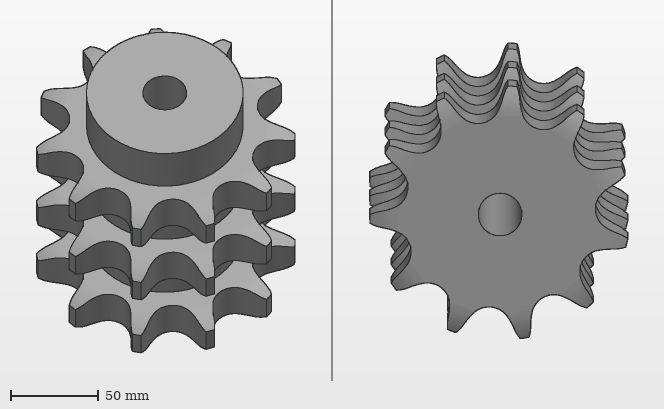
import cadquery as cq
import math

TEETH = 11
CHAIN_PITCH = 38.1
ROLLER_DIAMETER = CHAIN_PITCH * 2 / 3
SEATING_CLEARANCE = 0.08
TIP_RADIUS = 75.0

STRANDS = 3
STRAND_SPACING = 48.3
PLATE_THICKNESS = 23.8
RELIEF_START_RADIUS = 58.4
RELIEF_DEPTH = 4.0

TOTAL_HEIGHT = 150.0
HUB_DIAMETER = 90.0
BORE_DIAMETER = 25.0

HALF_TOOTH_ANGLE = math.pi / TEETH
PITCH_RADIUS = CHAIN_PITCH / 2 / math.sin(HALF_TOOTH_ANGLE)

SEATING_RADIUS = (1.005 * ROLLER_DIAMETER + SEATING_CLEARANCE) / 2
SEATING_ANGLE = math.radians(35 + 60 / TEETH)
WORKING_SWEEP = math.radians(18 - 56 / TEETH)
TOPPING_ANGLE = math.radians(17 - 64 / TEETH)
WORKING_OFFSET = 0.8 * ROLLER_DIAMETER
WORKING_RADIUS = WORKING_OFFSET + SEATING_RADIUS
TOPPING_OFFSET = 1.4 * ROLLER_DIAMETER
FLANK_LENGTH = TOPPING_OFFSET * math.sin(TOPPING_ANGLE) - WORKING_OFFSET * math.sin(WORKING_SWEEP)


def polar(center, radius, angle):
    return (center[0] + radius * math.cos(angle), center[1] + radius * math.sin(angle))


def angle_from(center, point):
    return math.atan2(point[1] - center[1], point[0] - center[0])


def rotate(point, angle):
    return polar((0, 0), math.hypot(*point), math.atan2(point[1], point[0]) + angle)


def mirror(point):
    return (-point[0], point[1])


def half_gap_points():
    """Points from the root to the tip along the +X side of the tooth gap centred on +Y."""
    roller = (0, PITCH_RADIUS)
    root = (0, PITCH_RADIUS - SEATING_RADIUS)
    seating_end = polar(roller, SEATING_RADIUS, -SEATING_ANGLE)

    working_center = polar(roller, WORKING_OFFSET, math.pi - SEATING_ANGLE)
    working_end_angle = WORKING_SWEEP - SEATING_ANGLE
    working_middle = polar(working_center, WORKING_RADIUS, working_end_angle - WORKING_SWEEP / 2)
    working_end = polar(working_center, WORKING_RADIUS, working_end_angle)
    flank_end = polar(working_end, FLANK_LENGTH, working_end_angle + math.pi / 2)

    topping_center = polar(roller, TOPPING_OFFSET, -HALF_TOOTH_ANGLE)
    topping_radius = math.dist(topping_center, flank_end)
    center_distance = math.hypot(*topping_center)
    cosine = (TIP_RADIUS**2 + center_distance**2 - topping_radius**2) / (2 * TIP_RADIUS * center_distance)
    tip_corner = polar((0, 0), TIP_RADIUS, angle_from((0, 0), topping_center) + math.acos(cosine))
    start_angle = angle_from(topping_center, flank_end) % math.tau
    stop_angle = angle_from(topping_center, tip_corner) % math.tau
    topping_middle = polar(topping_center, topping_radius, (start_angle + stop_angle) / 2)

    return root, seating_end, working_middle, working_end, flank_end, topping_middle, tip_corner


def toothed_blank():
    right_side = half_gap_points()
    left_side = [mirror(point) for point in right_side]
    first_corner = left_side[-1]
    outline = cq.Workplane("XY").moveTo(*first_corner)
    for index in range(TEETH):
        turn = -2 * HALF_TOOTH_ANGLE * index
        left = [rotate(point, turn) for point in left_side]
        right = [rotate(point, turn) for point in right_side]

        _, seating_end, working_middle, working_end, flank_end, topping_middle, _ = left
        outline = (
            outline.threePointArc(topping_middle, flank_end)
            .lineTo(*working_end)
            .threePointArc(working_middle, seating_end)
        )

        root, seating_end, working_middle, working_end, flank_end, topping_middle, tip_corner = right
        tip_middle = rotate((0, TIP_RADIUS), turn - HALF_TOOTH_ANGLE)
        next_corner = rotate(first_corner, turn - 2 * HALF_TOOTH_ANGLE)
        outline = (
            outline.threePointArc(root, seating_end)
            .threePointArc(working_middle, working_end)
            .lineTo(*flank_end)
            .threePointArc(topping_middle, tip_corner)
            .threePointArc(tip_middle, next_corner)
        )
    return outline.close().extrude(PLATE_THICKNESS)


def relief_envelope():
    """Disc whose faces curve towards each other near the rim, tangent to the flat faces."""
    run = TIP_RADIUS - RELIEF_START_RADIUS
    arc_radius = (run**2 + RELIEF_DEPTH**2) / (2 * RELIEF_DEPTH)
    half_sweep = math.asin(run / arc_radius) / 2
    middle_radius = RELIEF_START_RADIUS + arc_radius * math.sin(half_sweep)
    middle_depth = arc_radius * (1 - math.cos(half_sweep))
    upper_middle = (middle_radius, PLATE_THICKNESS - middle_depth)
    return (
        cq.Workplane("XZ")
        .lineTo(RELIEF_START_RADIUS, 0)
        .threePointArc((middle_radius, middle_depth), (TIP_RADIUS, RELIEF_DEPTH))
        .lineTo(TIP_RADIUS, PLATE_THICKNESS - RELIEF_DEPTH)
        .threePointArc(upper_middle, (RELIEF_START_RADIUS, PLATE_THICKNESS))
        .lineTo(0, PLATE_THICKNESS)
        .close()
        .revolve(360, (0, 0, 0), (0, 1, 0))
    )


toothed_plate = toothed_blank().intersect(relief_envelope())

sprocket = cq.Workplane("XY").circle(HUB_DIAMETER / 2).extrude(TOTAL_HEIGHT)
for strand in range(STRANDS):
    sprocket = sprocket.union(toothed_plate.translate((0, 0, strand * STRAND_SPACING)))

bore = cq.Workplane("XY").circle(BORE_DIAMETER / 2).extrude(TOTAL_HEIGHT)
result = sprocket.cut(bore)